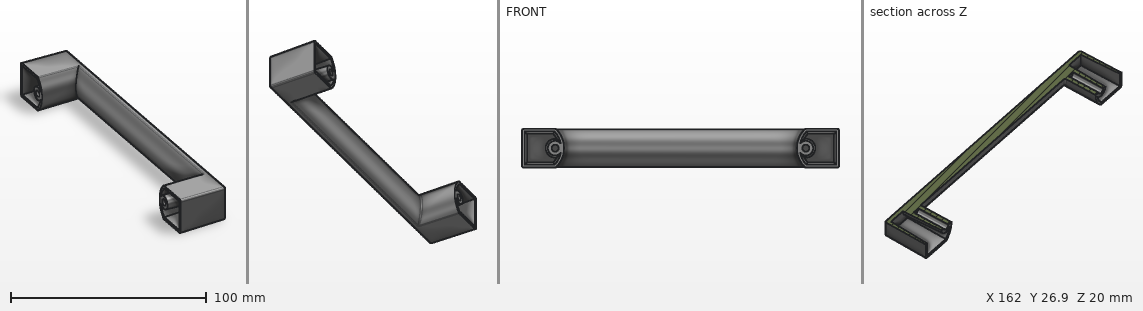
import cadquery as cq
import math

length = 162.0
depth = 26.9
height = 20.0
draft = 0.7
edge_radius = 1.1
inner_edge_radius = 0.8

nose_radius = 13.8
bar_thickness = 7.0
leg_width = 21.5

wall = 1.5
pocket_draft = 3.0
floor_thickness = 2.6

boss_offset = 17.0
boss_radius = 3.7
boss_draft = 2.6
pilot_radius = 1.8
pilot_depth = 19.5

pocket_depth = depth - floor_thickness
half_length = length / 2

mouth_plane = cq.Plane(origin=(0, 0, 0), xDir=(-1, 0, 0), normal=(0, 1, 0))
left_leg_plane = cq.Plane(origin=(-half_length, 0, 0), xDir=(1, 0, 0), normal=(0, -1, 0))
bar_plane = cq.Plane(origin=(-half_length, depth, 0), xDir=(0, -1, 0), normal=(1, 0, 0))


def nose_outline(plane, crest):
    """D outline of full height along the plane's local X: flat at zero, rounded at crest."""
    half_height = height / 2
    shoulder = crest - nose_radius + math.sqrt(nose_radius**2 - half_height**2)
    return (
        cq.Workplane(plane)
        .moveTo(0, -half_height)
        .lineTo(shoulder, -half_height)
        .threePointArc((crest, 0), (shoulder, half_height))
        .lineTo(0, half_height)
        .close()
    )


def mirrored_pair(left):
    """The left-hand shape together with its mirror image on the right."""
    return left.union(left.mirror("YZ"))


def make_envelope():
    """Drafted block with every edge rounded except those around the mouth face."""
    block = cq.Workplane(mouth_plane).rect(length, height).extrude(depth, taper=draft)
    return block.edges("not <Y").fillet(edge_radius)


def round_inner_edges(body):
    """Round the edges where the flat top and bottom meet the rounded inner face of the U."""
    reach_x = half_length - leg_width / 2
    reach_y = depth - bar_thickness / 4
    for low, high in ((height / 4, height), (-height, -height / 4)):
        inner_edges = cq.selectors.BoxSelector((-reach_x, 0, low), (reach_x, reach_y, high))
        body = body.edges(inner_edges).fillet(inner_edge_radius)
    return body


def make_body():
    """U-shaped solid: bar and legs meet in mitred inner corners."""
    bar = nose_outline(bar_plane, bar_thickness).extrude(length)
    leg = nose_outline(left_leg_plane, leg_width).extrude(-depth)
    body = bar.union(mirrored_pair(leg)).intersect(make_envelope())
    return round_inner_edges(body)


def boss_centre():
    """Workplane on the mouth face, centred on the left screw boss."""
    return cq.Workplane(mouth_plane).center(half_length - boss_offset, 0)


def make_boss():
    """Round screw boss from the mouth face to the pocket floor, joined to the rounded wall."""
    return boss_centre().circle(boss_radius).extrude(pocket_depth, taper=-boss_draft)


def make_pocket():
    """Drafted hollow following the leg outline, with the screw boss left standing."""
    outline = nose_outline(left_leg_plane, leg_width).offset2D(-wall)
    hollow = outline.extrude(-pocket_depth, taper=pocket_draft)
    return hollow.cut(make_boss())


def make_pilot():
    """Blind screw hole from the mouth face into the boss."""
    return boss_centre().circle(pilot_radius).extrude(pilot_depth)


result = make_body().cut(mirrored_pair(make_pocket())).cut(mirrored_pair(make_pilot()))